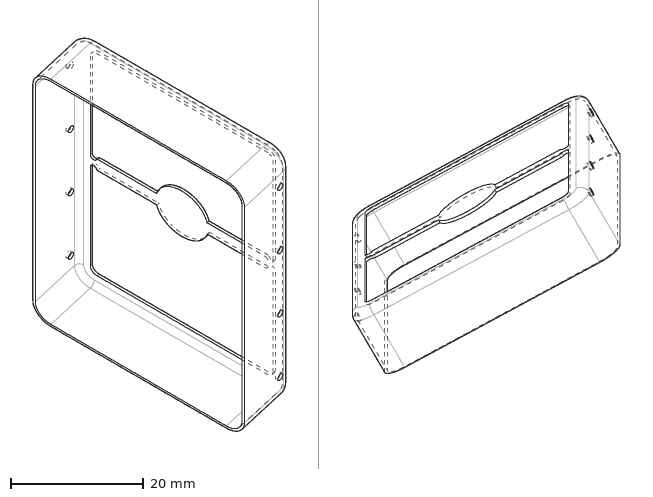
import cadquery as cq

width = 40.8
depth = 11.0
height = 54.8
wall = 0.5
corner_radius = 3.5
back_edge_radius = 1.5

rim_width = 2.8
window_corner_radius = 1.25

bar_height = 2.5
disc_radius = 5.05
notch_radius = 0.6
notch_lip_radius = 0.5

hole_diameter = 1.2
hole_pitch = 14.05
hole_count = 4
hole_to_back = 2.3

back_y = depth / 2
floor_y = back_y - wall
window_width = width - 2 * rim_width
window_height = height - 2 * rim_width


def plane_at(y):
    """XZ plane at the given Y, with its normal toward +Y and local x toward -X."""
    return cq.Workplane("XZ", origin=(0, y, 0)).workplane(invert=True)


def rounded_block(block_width, block_height, start_y, length, radius):
    """Block growing toward +Y, with its four Y-direction edges rounded."""
    block = plane_at(start_y).rect(block_width, block_height).extrude(length)
    return block.edges("|Y").fillet(radius)


def make_shell():
    outer = rounded_block(width, height, -back_y, depth, corner_radius)
    outer = outer.faces(">Y").edges().fillet(back_edge_radius)
    cavity = rounded_block(
        width - 2 * wall, height - 2 * wall, -back_y, depth - wall, corner_radius - wall
    )
    cavity = cavity.faces(">Y").edges().fillet(back_edge_radius - wall)
    window = rounded_block(window_width, window_height, -back_y, depth, window_corner_radius)
    return outer.cut(cavity).cut(window)


def make_crossbar():
    bar_length = window_width + rim_width / 2
    bar = plane_at(floor_y).rect(bar_length, bar_height).extrude(wall)
    notch_x = window_width / 2 - notch_radius
    notch_centres = [(x, z) for x in (-notch_x, notch_x) for z in (-bar_height / 2, bar_height / 2)]
    notches = plane_at(floor_y).pushPoints(notch_centres).circle(notch_radius).extrude(wall)
    disc = plane_at(floor_y).circle(disc_radius).extrude(wall)
    lip_x = notch_x - notch_radius
    reach = notch_radius / 2
    bar = bar.cut(notches)
    for side in (-1, 1):
        lip_edges = cq.selectors.BoxSelector(
            (side * lip_x - reach, floor_y - wall, -bar_height),
            (side * lip_x + reach, back_y + wall, bar_height),
        )
        bar = bar.edges("|Y").edges(lip_edges).fillet(notch_lip_radius)
    return bar.union(disc)


def make_side_holes():
    return (
        cq.Workplane("YZ", origin=(-width / 2, back_y - hole_to_back, 0))
        .rarray(0.55, hole_pitch, 1, hole_count)
        .circle(hole_diameter / 2)
        .extrude(width)
    )


result = make_shell().union(make_crossbar()).cut(make_side_holes())